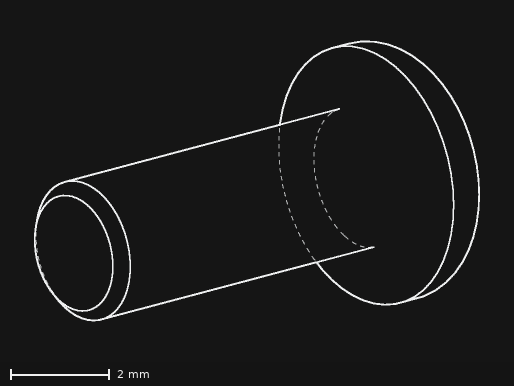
import cadquery as cq

total_length = 8.93
head_diameter = 5.36
head_thickness = 1.0
head_edge_radius = 0.55
shank_diameter = 2.89
neck_fillet_radius = 0.25
tip_chamfer = 0.25

head_radius = head_diameter / 2
shank_radius = shank_diameter / 2
tip_y = -total_length / 2
head_top_y = total_length / 2
head_underside_y = head_top_y - head_thickness


def make_cylinder(radius, start_y, end_y):
    """Solid cylinder on the Y axis between two Y positions."""
    plane = cq.Plane(origin=(0, start_y, 0), xDir=(1, 0, 0), normal=(0, 1, 0))
    return cq.Workplane(plane).circle(radius).extrude(end_y - start_y)


head = make_cylinder(head_radius, head_underside_y, head_top_y)
head = head.faces(">Y").edges().fillet(head_edge_radius)

shank = make_cylinder(shank_radius, tip_y, head_underside_y)
shank = shank.faces("<Y").edges().chamfer(tip_chamfer)

neck_edge = cq.selectors.RadiusNthSelector(0)
result = head.union(shank)
result = result.faces(cq.selectors.NearestToPointSelector((0, head_underside_y, 0)))
result = result.edges(neck_edge).fillet(neck_fillet_radius)